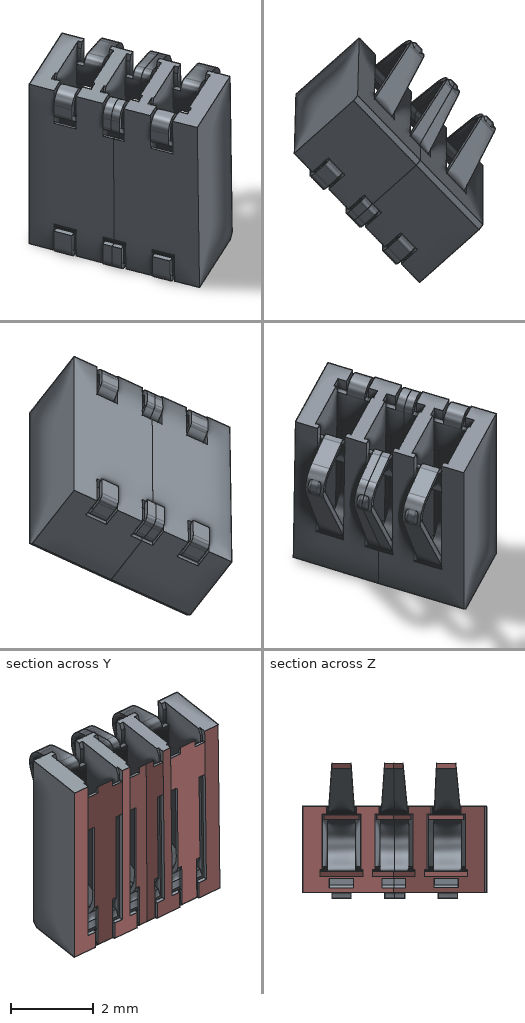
import cadquery as cq
import math


HEIGHT = 5.005
DEPTH = 2.085
WIDTH = 4.44
DIVIDE_X = WIDTH / 2
DIVIDE_LEAN = 0.33
BOTTOM_CHAMFER = 0.13
PITCH = 1.275
END_X = 0.935
MIDDLE_X = END_X + PITCH

THICKNESS = 0.125
HALF_THICKNESS = THICKNESS / 2
STRIP_WIDTH = 0.465
FRONT_Y = -0.135
PLATE_BACK = 0.525
PLATE_FRONT = PLATE_BACK - THICKNESS
PLATE_MID = PLATE_BACK - HALF_THICKNESS

HOOK_RADIUS = (PLATE_BACK - FRONT_Y) / 2
HOOK_MID_RADIUS = HOOK_RADIUS - HALF_THICKNESS
HOOK_CENTRE = (FRONT_Y + HOOK_RADIUS, HEIGHT - HOOK_RADIUS)
TAIL_BEND_RADIUS = 0.155
TAIL_BEND_DEPTH = 0.615
TAIL_TURN = 50
TAIL_LENGTH = 0.435

FOOT_TOP = 0.72
FOOT_BEND_RADIUS = 0.18

SPRING_WIDTH = 0.68
SPRING_SLOPE = 65.5
TIP_RADIUS = 0.505
TIP_OVERHANG = 1.06
TIP_Y = DEPTH + TIP_OVERHANG
TIP_CENTRE = (TIP_Y - TIP_RADIUS, 4.0)
TAPER_START_Y = 1.6
U_INNER_RADIUS = 0.675
U_Y = PLATE_BACK + U_INNER_RADIUS
U_Z = TIP_CENTRE[1] + (
    (U_Y - TIP_CENTRE[0]) * math.sin(math.radians(SPRING_SLOPE))
    - (TIP_RADIUS - THICKNESS)
    + U_INNER_RADIUS
) / math.cos(math.radians(SPRING_SLOPE))
U_CENTRE = (U_Y, U_Z)
U_BOTTOM = U_Z - U_INNER_RADIUS - THICKNESS

RETURN_SLOPE = 12.5
RETURN_BEND_RADIUS = 0.215
BACK_PLATE_FRONT = 1.76
BACK_PLATE_HEIGHT = 0.605

FRONT_WING_WIDTH = 1.025
FRONT_WING_HEIGHT = 1.005
BACK_WING_WIDTH = 0.855

BUMP_WIDTH = 0.34
BUMP_RADIUS = 0.275
BUMP_HEIGHT = 0.0495
BUMP_ANGLE = 10
BUMP_ROUNDING = 0.085

NOTCH_WIDTH = 0.58
NOTCH_DEPTH = 1.02
SILL_DEPTH = 0.06
RECESS_FRONT = 0.18
RECESS_BACK = 0.34
RECESS_DROP = 0.25
LEDGE_RISE = 0.115
FRONT_SLOT_BACK = 0.555
FRONT_SLOT_MOUTH = 0.635
FRONT_SLOT_FLOOR = 0.48
CAVITY_WIDTH = 0.925
CAVITY_BACK = 1.895
CAVITY_MOUTH = 1.955
CAVITY_FLOOR = U_BOTTOM - 0.025
LEAD_IN = 0.16
BACK_SLOT_WIDTH = 0.715
BACK_SILL_Y = 2.05
BACK_SILL_TOP = 1.31
WINDOW_TOP = 0.82
WINDOW_INNER_TOP = (0.09, 0.64)
WINDOW_SILL_Y = 0.045


def slab(outline, width, x):
    """A Y-Z outline given thickness along X, centred at x."""
    return cq.Workplane("YZ", origin=(x, 0, 0)).polyline(outline).close().extrude(width / 2, both=True)


def block(y_range, z_range, width, x):
    (y0, y1), (z0, z1) = y_range, z_range
    return slab([(y0, z0), (y1, z0), (y1, z1), (y0, z1)], width, x)


def on_circle(centre, radius, degrees):
    angle = math.radians(degrees)
    return (centre[0] + radius * math.cos(angle), centre[1] + radius * math.sin(angle))


def bend(path, centre, radius, start, end):
    """Continue a path around a circle from one angle to another."""
    halfway = on_circle(centre, radius, (start + end) / 2)
    return path.threePointArc(halfway, on_circle(centre, radius, end))


def path_from(start, x):
    return cq.Workplane("YZ", origin=(x, 0, 0)).moveTo(*start)


def strip(path, start, width, x):
    """Sheet-metal strip along a path that leaves its start vertically."""
    section = cq.Workplane("XY", origin=(x, start[0], start[1])).rect(width, THICKNESS)
    return section.sweep(path)


def left_of_divide(y0, y1):
    """Everything on the left of the leaning plane, between two Y positions."""
    top_x = DIVIDE_X - HEIGHT * math.tan(math.radians(DIVIDE_LEAN))
    outline = [(0, 0), (DIVIDE_X, 0), (top_x, HEIGHT), (0, HEIGHT)]
    return cq.Workplane("XZ", origin=(0, y0, 0)).polyline(outline).close().extrude(y0 - y1)


def mirrored(body):
    lean = math.radians(DIVIDE_LEAN)
    return body.mirror(cq.Vector(math.cos(lean), 0, math.sin(lean)), (DIVIDE_X, 0, 0))


def contact_opening(x):
    """Space for one contact: notch, front slot, cavity, back slot, and window with foot channel."""
    notch_floor = HEIGHT - NOTCH_DEPTH
    notch = slab(
        [
            (0, HEIGHT),
            (0, notch_floor),
            (SILL_DEPTH, notch_floor),
            (RECESS_FRONT, notch_floor - RECESS_DROP),
            (RECESS_BACK, notch_floor - RECESS_DROP),
            (RECESS_BACK, notch_floor + LEDGE_RISE),
            (PLATE_FRONT, notch_floor + LEDGE_RISE),
            (PLATE_FRONT, HEIGHT),
        ],
        NOTCH_WIDTH,
        x,
    )
    front_slot = slab(
        [
            (PLATE_FRONT, HEIGHT),
            (PLATE_FRONT, FRONT_SLOT_FLOOR),
            (FRONT_SLOT_BACK, FRONT_SLOT_FLOOR),
            (FRONT_SLOT_BACK, HEIGHT - LEAD_IN),
            (FRONT_SLOT_MOUTH, HEIGHT),
        ],
        FRONT_WING_WIDTH,
        x,
    )
    cavity = slab(
        [
            (FRONT_SLOT_BACK, HEIGHT),
            (FRONT_SLOT_BACK, CAVITY_FLOOR - LEAD_IN),
            (FRONT_SLOT_MOUTH, CAVITY_FLOOR),
            (CAVITY_BACK, CAVITY_FLOOR),
            (CAVITY_BACK, HEIGHT - LEAD_IN),
            (CAVITY_MOUTH, HEIGHT),
        ],
        CAVITY_WIDTH,
        x,
    )
    ramp_drop = (BACK_SILL_Y - CAVITY_BACK) * math.tan(math.radians(SPRING_SLOPE))
    back_slot = slab(
        [
            (CAVITY_BACK, HEIGHT),
            (CAVITY_BACK, BACK_SILL_TOP - ramp_drop),
            (BACK_SILL_Y, BACK_SILL_TOP),
            (DEPTH, BACK_SILL_TOP),
            (DEPTH, HEIGHT),
        ],
        BACK_SLOT_WIDTH,
        x,
    )
    window = slab(
        [(0, 0), (0, WINDOW_TOP), WINDOW_INNER_TOP, (WINDOW_SILL_Y, THICKNESS), (WINDOW_SILL_Y, 0)],
        NOTCH_WIDTH,
        x,
    )
    foot_channel = block((0, PLATE_BACK), (0, THICKNESS), NOTCH_WIDTH, x)
    plate_passage = block((PLATE_FRONT, PLATE_BACK), (0, FRONT_SLOT_FLOOR), NOTCH_WIDTH, x)
    bend_y = (PLATE_BACK - FOOT_BEND_RADIUS, PLATE_BACK)
    bend_clearance = block(bend_y, (0, FOOT_BEND_RADIUS), NOTCH_WIDTH, x)
    opening = notch
    for part in (front_slot, cavity, back_slot, window, foot_channel, plate_passage, bend_clearance):
        opening = opening.union(part)
    return opening


def housing_half():
    housing = left_of_divide(0, DEPTH)
    housing = housing.faces(">Y").edges("<Z").chamfer(BOTTOM_CHAMFER)
    for x in (END_X, MIDDLE_X):
        housing = housing.cut(contact_opening(x))
    return housing


def hook_and_foot(x):
    """Strip from the foot, under the front wall, up the plate and over the hook to its tail."""
    start = (FRONT_Y + HALF_THICKNESS, FOOT_TOP)
    bend_radius = FOOT_BEND_RADIUS - HALF_THICKNESS
    foot_centre = (FRONT_Y + FOOT_BEND_RADIUS, FOOT_BEND_RADIUS)
    plate_centre = (PLATE_BACK - FOOT_BEND_RADIUS, FOOT_BEND_RADIUS)
    tail_centre = (FRONT_Y + TAIL_BEND_RADIUS, HEIGHT - TAIL_BEND_DEPTH)

    path = path_from(start, x).lineTo(start[0], foot_centre[1])
    path = bend(path, foot_centre, bend_radius, 180, 270).lineTo(plate_centre[0], HALF_THICKNESS)
    path = bend(path, plate_centre, bend_radius, 270, 360).lineTo(PLATE_MID, HOOK_CENTRE[1])
    path = bend(path, HOOK_CENTRE, HOOK_MID_RADIUS, 0, 180).lineTo(start[0], tail_centre[1])
    path = bend(path, tail_centre, TAIL_BEND_RADIUS - HALF_THICKNESS, 180, 180 + TAIL_TURN)
    path = path.polarLine(TAIL_LENGTH, TAIL_TURN - 90)
    return strip(path, start, STRIP_WIDTH, x)


def spring(x):
    """U and sloping arm up to the tip, narrowing towards the tip."""
    start = (PLATE_MID, HOOK_CENTRE[1])
    tip_radius = TIP_RADIUS - HALF_THICKNESS
    arm_angle = SPRING_SLOPE - 90
    path = path_from(start, x).lineTo(PLATE_MID, U_Z)
    path = bend(path, U_CENTRE, U_INNER_RADIUS + HALF_THICKNESS, 180, 360 + arm_angle)
    path = path.lineTo(*on_circle(TIP_CENTRE, tip_radius, arm_angle))
    path = bend(path, TIP_CENTRE, tip_radius, arm_angle, 0)
    wide, narrow = SPRING_WIDTH / 2, STRIP_WIDTH / 2
    taper_outline = [
        (x - wide, 0),
        (x + wide, 0),
        (x + wide, TAPER_START_Y),
        (x + narrow, TIP_Y),
        (x - narrow, TIP_Y),
        (x - wide, TAPER_START_Y),
    ]
    taper = cq.Workplane("XY").polyline(taper_outline).close().extrude(HEIGHT)
    return strip(path, start, SPRING_WIDTH, x).intersect(taper)


def return_arm(x):
    """Strip from the tip back into the cavity, with the winged back plate."""
    tip_radius = TIP_RADIUS - HALF_THICKNESS
    start = on_circle(TIP_CENTRE, tip_radius, 0)
    normal = 90 - RETURN_SLOPE
    bend_y = BACK_PLATE_FRONT + RETURN_BEND_RADIUS
    slope = math.radians(RETURN_SLOPE)
    bend_z = TIP_CENTRE[1] + (
        TIP_RADIUS - RETURN_BEND_RADIUS - (bend_y - TIP_CENTRE[0]) * math.sin(slope)
    ) / math.cos(slope)
    bend_centre = (bend_y, bend_z)
    bend_radius = RETURN_BEND_RADIUS - HALF_THICKNESS
    plate_bottom = bend_z - BACK_PLATE_HEIGHT

    path = bend(path_from(start, x), TIP_CENTRE, tip_radius, 0, normal)
    path = path.lineTo(*on_circle(bend_centre, bend_radius, normal))
    path = bend(path, bend_centre, bend_radius, normal, 180)
    path = path.lineTo(BACK_PLATE_FRONT + HALF_THICKNESS, plate_bottom)
    back_plate_y = (BACK_PLATE_FRONT, BACK_PLATE_FRONT + THICKNESS)
    wings = block(back_plate_y, (plate_bottom, bend_z), BACK_WING_WIDTH, x)
    return strip(path, start, STRIP_WIDTH, x).union(wings)


def touch_bump(x):
    centre = on_circle(TIP_CENTRE, TIP_RADIUS + BUMP_HEIGHT - BUMP_RADIUS, BUMP_ANGLE)
    roller = path_from(centre, x).circle(BUMP_RADIUS).extrude(BUMP_WIDTH / 2, both=True)
    roller = roller.edges().fillet(BUMP_ROUNDING)
    inside = path_from(TIP_CENTRE, x).circle(TIP_RADIUS - HALF_THICKNESS).extrude(BUMP_WIDTH, both=True)
    return roller.cut(inside)


def contact(x):
    wing_z = (HOOK_CENTRE[1] - FRONT_WING_HEIGHT, HOOK_CENTRE[1])
    front_wings = block((PLATE_FRONT, PLATE_BACK), wing_z, FRONT_WING_WIDTH, x)
    return (
        hook_and_foot(x)
        .union(front_wings)
        .union(spring(x))
        .union(return_arm(x))
        .union(touch_bump(x))
    )


def middle_contact_half():
    whole = contact(MIDDLE_X)
    return whole.intersect(left_of_divide(2 * FRONT_Y, 2 * TIP_Y))


bodies = []
for half_body in (housing_half(), contact(END_X), middle_contact_half()):
    bodies.append(half_body.solids().val())
    bodies.append(mirrored(half_body).solids().val())

result = cq.Compound.makeCompound(bodies)